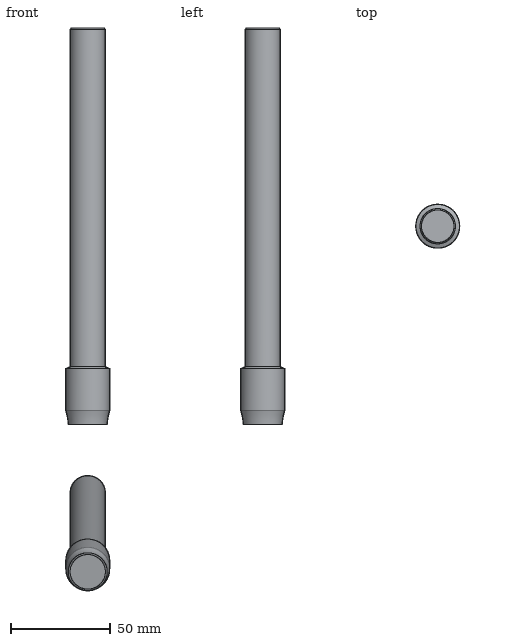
import cadquery as cq

total_length = 200.0

pin_diameter = 17.8
pin_radius = pin_diameter / 2
pin_tip_radius = 8.2
pin_tip_height = 0.8

sleeve_diameter = 22.2
sleeve_radius = sleeve_diameter / 2
sleeve_foot_radius = 9.8
sleeve_height = 29.2
sleeve_shoulder_height = 1.0
taper_height = 7.2
taper_hollow = 0.2


def make_pin():
    """Round pin, running the full length, with a bevelled top end."""
    return (
        cq.Workplane("XZ")
        .lineTo(pin_radius, 0)
        .lineTo(pin_radius, total_length - pin_tip_height)
        .lineTo(pin_tip_radius, total_length)
        .lineTo(0, total_length)
        .close()
        .revolve(360, (0, 0), (0, 1))
    )


def make_sleeve():
    """Sleeve around the foot of the pin: conical shoulder on top, hollow taper below."""
    taper_middle_radius = (sleeve_radius + sleeve_foot_radius) / 2 - taper_hollow
    return (
        cq.Workplane("XZ")
        .moveTo(pin_radius, 0)
        .lineTo(sleeve_foot_radius, 0)
        .threePointArc((taper_middle_radius, taper_height / 2), (sleeve_radius, taper_height))
        .lineTo(sleeve_radius, sleeve_height - sleeve_shoulder_height)
        .lineTo(pin_radius, sleeve_height)
        .close()
        .revolve(360, (0, 0), (0, 1))
    )


pin = make_pin()
sleeve = make_sleeve()

result = cq.Compound.makeCompound([pin.val(), sleeve.val()])